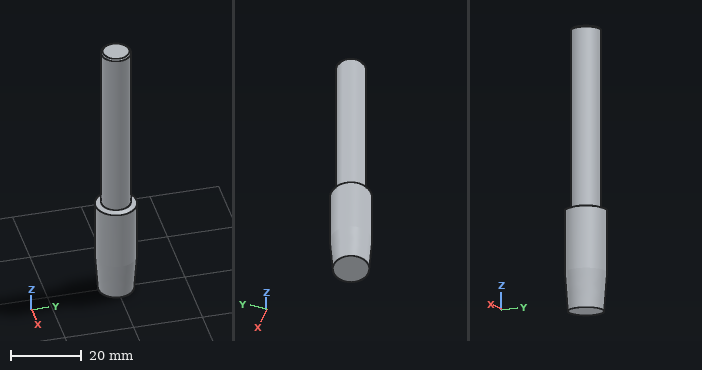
import cadquery as cq

total_length = 82.0
base_z = 0.0

head_radius = 6.0
nose_radius = 5.2
nose_length = 11.2
cylinder_length = 17.95
shoulder_height = 0.6

shank_radius = 4.3
shank_chamfer = 0.5

cylinder_bottom_z = base_z + nose_length
cylinder_top_z = cylinder_bottom_z + cylinder_length
head_top_z = cylinder_top_z + shoulder_height
shank_bottom_z = cylinder_bottom_z
shank_length = base_z + total_length - shank_bottom_z


def make_head():
    """Turned head with a blind socket for the shank."""
    return (
        cq.Workplane("XZ")
        .moveTo(0, base_z)
        .lineTo(nose_radius, base_z)
        .lineTo(head_radius, cylinder_bottom_z)
        .lineTo(head_radius, cylinder_top_z)
        .lineTo(shank_radius, head_top_z)
        .lineTo(shank_radius, shank_bottom_z)
        .lineTo(0, shank_bottom_z)
        .close()
        .revolve(360, (0, 0), (0, 1))
    )


def make_shank():
    """Round shank seated in the socket of the head, with a chamfered free end."""
    return (
        cq.Workplane("XY")
        .workplane(offset=shank_bottom_z)
        .circle(shank_radius)
        .extrude(shank_length)
        .faces(">Z")
        .chamfer(shank_chamfer)
    )


head = make_head()
shank = make_shank()

result = cq.Compound.makeCompound([head.val(), shank.val()])